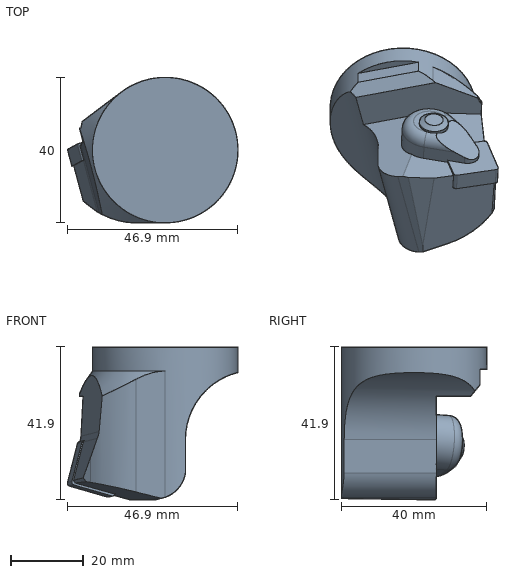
import cadquery as cq
import math

disc_diameter = 40.0
disc_radius = disc_diameter / 2
disc_depth = 6.55
head_shift = 8.0
head_height = 44.53
cone_slope = 0.7
tangent_angle = 127.0
front_tangent_angle = 231.5
flat_length = 19.7
oversize = 70.3

back_x = 5.6
back_arc_radius = 18.9
back_arc_z = -25.3
back_corner_start_z = -34.55
back_corner_mid = (3.9, -38.4)
back_corner_end = (0.05, -41.2)
back_heel_end = (-5.62, -42.65)

chip_floor_y = 6.1
chip_roof_z = -13.5
chip_bevel_y = 15.45
chip_wall_y = 18.1
chip_bevel_top_z = -10.3
chip_rim_z = -6.1
lip_origin = (-23.15, chip_floor_y, 0.0)
lip_normal = (-1.0, 0.19, 0.0)

bottom_origin = (-head_shift, -disc_radius, -39.75)
bottom_normal = (-0.25, -0.108, -1.0)
heel_origin = (-1.25, -disc_radius, -41.57)
heel_normal = (0.0, -0.014, -1.0)

insert_corner = (-27.05, 0.1, -37.9)
insert_size = 12.7
insert_thickness = 4.8
insert_corner_radius = 0.8
seat_drop = 0.65

flank_inset = 0.37
flank_chamfer = 1.2
flank_bend = (12.2, 14.05)
bend_mid = (0.37, 13.12)
bend_top_across = 0.3
flank_top = (-3.75, 33.75)

boss_center = (15.25, 16.65)
boss_radius = 7.6
screw_center = (14.55, 15.45)
nose_center = (7.05, 7.5)
nose_radius = 3.3
clamp_top = 6.35
clamp_base = -2.35
clamp_rounding = 3.05
nose_tip_height = 0.95
nose_slope_run = 11.25
screw_diameter = 8.0
screw_top_diameter = 5.0
screw_rim_height = 0.55
screw_cone_height = 0.95

inward = cq.Vector(0.26, -0.964, 0.067).normalized()
across_raw = cq.Vector(0.933, 0.232, -0.270)
across = across_raw - inward * across_raw.dot(inward)
rake = cq.Plane(origin=insert_corner, xDir=across, normal=inward)


def rake_plane(height):
    """Workplane parallel to the rake face, raised by height above it."""
    return cq.Workplane(rake).workplane(offset=-height)


def polar(radius, degrees, center_x=0.0):
    angle = math.radians(degrees)
    return (center_x + radius * math.cos(angle), radius * math.sin(angle))


def half_space(origin, normal):
    """Large block on the outer side of a plane."""
    plane = cq.Plane(origin=origin, normal=normal)
    return cq.Workplane(plane).rect(2 * oversize, 2 * oversize).extrude(oversize)


def make_head_blank():
    """Disc outline joined by flats to a round moved toward -X, under a conical flare."""
    rear_start = polar(disc_radius, tangent_angle)
    rear_step = polar(flat_length, tangent_angle + 90)
    front_start = polar(disc_radius, front_tangent_angle, -head_shift)
    front_step = polar(flat_length / 2, front_tangent_angle - 90)
    front_mid = polar(disc_radius, (front_tangent_angle + 270) / 2, -head_shift)
    outline = (
        cq.Workplane("XY")
        .moveTo(*rear_start)
        .lineTo(rear_start[0] + rear_step[0], rear_start[1] + rear_step[1])
        .lineTo(front_start[0] + front_step[0], front_start[1] + front_step[1])
        .lineTo(*front_start)
        .threePointArc(front_mid, (-head_shift, -disc_radius))
        .lineTo(0, -disc_radius)
        .threePointArc((disc_radius, 0), rear_start)
        .close()
        .extrude(-head_height)
    )
    flare_radius = disc_radius + cone_slope * (head_height - disc_depth)
    flare = (
        cq.Workplane("XZ")
        .polyline([
            (0, 0),
            (disc_radius, 0),
            (disc_radius, -disc_depth),
            (flare_radius, -head_height),
            (0, -head_height),
        ])
        .close()
        .revolve(360, (0, 0, 0), (0, 1, 0))
    )
    return outline.intersect(flare)


def make_back_relief():
    """Concave scoop under the disc and the rounded heel, along all of Y."""
    scoop_center_x = back_x + back_arc_radius
    scoop_end_z = back_arc_z + back_arc_radius
    scoop_mid_offset = back_arc_radius * math.sqrt(0.5)
    return (
        cq.Workplane("XZ")
        .moveTo(scoop_center_x, scoop_end_z)
        .threePointArc(
            (scoop_center_x - scoop_mid_offset, back_arc_z + scoop_mid_offset),
            (back_x, back_arc_z),
        )
        .lineTo(back_x, back_corner_start_z)
        .threePointArc(back_corner_mid, back_corner_end)
        .lineTo(*back_heel_end)
        .lineTo(back_heel_end[0], -oversize)
        .lineTo(scoop_center_x, -oversize)
        .close()
        .extrude(oversize, both=True)
    )


def make_chip_space():
    """Open space on the +Y side, with a stepped and bevelled roof."""
    return (
        cq.Workplane("YZ")
        .polyline([
            (chip_floor_y, -oversize),
            (chip_floor_y, chip_roof_z),
            (chip_bevel_y, chip_roof_z),
            (chip_wall_y, chip_bevel_top_z),
            (chip_wall_y, chip_rim_z),
            (oversize, chip_rim_z),
            (oversize, -oversize),
        ])
        .close()
        .extrude(oversize, both=True)
    )


def make_rake_relief():
    """Space above the face around the insert, below the chip space roof."""
    above_face = half_space(rake_plane(-seat_drop).plane.origin, inward * -1)
    below_roof = half_space((0, 0, chip_roof_z), (0, 0, -1))
    return above_face.intersect(below_roof)


def make_lip_trim():
    """Trims the sharp tip of the flare above the chip space to a small upright facet."""
    beyond_lip = half_space(lip_origin, lip_normal)
    return beyond_lip.intersect(half_space((0, chip_floor_y, 0), (0, 1, 0)))


def make_flank_cut():
    """Material in front of the bent flank and its bottom chamfer."""
    return (
        cq.Workplane(rake)
        .moveTo(flank_inset + flank_chamfer + oversize, -oversize)
        .lineTo(flank_inset + flank_chamfer, 0)
        .lineTo(flank_inset, flank_chamfer)
        .lineTo(flank_inset, flank_bend[0])
        .threePointArc(bend_mid, (bend_top_across, flank_bend[1]))
        .lineTo(*flank_top)
        .lineTo(-oversize, flank_top[1])
        .lineTo(-oversize, -oversize)
        .close()
        .extrude(oversize, both=True)
    )


def make_clamp():
    """Tapered clamp with a sloped nose, rounded boss and screw head."""
    run_x = boss_center[0] - nose_center[0]
    run_y = boss_center[1] - nose_center[1]
    length = math.hypot(run_x, run_y)
    axis = math.atan2(run_y, run_x)
    side = math.acos((boss_radius - nose_radius) / length)

    def rim(center, radius, angle):
        return (center[0] + radius * math.cos(angle), center[1] + radius * math.sin(angle))

    body = (
        rake_plane(clamp_base)
        .moveTo(*rim(boss_center, boss_radius, axis + math.pi - side))
        .lineTo(*rim(nose_center, nose_radius, axis + math.pi - side))
        .threePointArc(
            rim(nose_center, nose_radius, axis + math.pi),
            rim(nose_center, nose_radius, axis + math.pi + side),
        )
        .lineTo(*rim(boss_center, boss_radius, axis + math.pi + side))
        .threePointArc(
            rim(boss_center, boss_radius, axis),
            rim(boss_center, boss_radius, axis + math.pi - side),
        )
        .close()
        .extrude(clamp_base - clamp_top)
    )
    top_face = cq.selectors.DirectionMinMaxSelector(inward, False)
    body = body.faces(top_face).edges().fillet(clamp_rounding)

    along = rake.xDir * math.cos(axis) + rake.yDir * math.sin(axis)
    tip = rim(nose_center, nose_radius, axis + math.pi)
    slope_origin = rake.toWorldCoords((tip[0], tip[1], -nose_tip_height))
    rise = clamp_top - nose_tip_height
    body = body.cut(half_space(slope_origin, inward * -nose_slope_run - along * rise))

    screw_rim = clamp_top + screw_rim_height
    shaft = (
        rake_plane(0)
        .center(*screw_center)
        .circle(screw_diameter / 2)
        .extrude(-screw_rim)
    )
    crown = (
        rake_plane(screw_rim)
        .center(*screw_center)
        .circle(screw_diameter / 2)
        .workplane(offset=-screw_cone_height)
        .circle(screw_top_diameter / 2)
        .loft(combine=True)
    )
    return body.union(shaft).union(crown)


def make_insert():
    """Square cutting insert with rounded corners."""
    return (
        cq.Workplane(rake)
        .rect(insert_size, insert_size, centered=False)
        .extrude(insert_thickness)
        .edges(cq.selectors.ParallelDirSelector(inward))
        .fillet(insert_corner_radius)
    )


def make_holder(insert):
    holder = make_head_blank()
    holder = holder.cut(make_back_relief())
    holder = holder.cut(make_chip_space())
    holder = holder.cut(make_rake_relief())
    holder = holder.cut(make_lip_trim())
    holder = holder.cut(make_flank_cut())
    holder = holder.cut(half_space(bottom_origin, bottom_normal))
    holder = holder.cut(half_space(heel_origin, heel_normal))
    return holder.union(make_clamp()).cut(insert)


insert = make_insert()
holder = make_holder(insert)
result = cq.Compound.makeCompound([holder.val(), insert.val()])